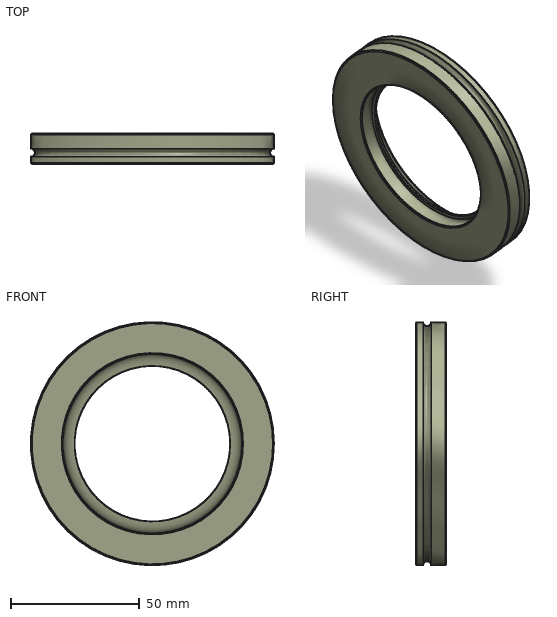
import cadquery as cq

outer_radius = 47.5
thickness = 12.0
lip_radius = 30.3
lip_thickness = 0.95
front_recess_radius = 35.0
front_recess_depth = 5.0
back_recess_radius = 31.7
back_recess_depth = thickness - front_recess_depth - lip_thickness
edge_chamfer = 0.5

groove_radius = 1.5
groove_offset = 4.5

front_y = -thickness / 2
back_y = thickness / 2


def cylinder(radius, start_y, length):
    """Solid cylinder along +Y from start_y."""
    base = cq.Workplane("XZ", origin=(0, start_y, 0))
    return base.circle(radius).extrude(-length)


def make_recess(recess_radius, recess_depth, face_y, inward):
    """Cutter for a counterbore with a chamfered mouth; inward is +1 or -1 along Y."""
    mouth_radius = recess_radius + edge_chamfer
    floor_y = face_y + inward * recess_depth
    chamfer_end_y = face_y + inward * edge_chamfer
    profile = cq.Workplane("XY").polyline([
        (0, face_y),
        (mouth_radius, face_y),
        (recess_radius, chamfer_end_y),
        (recess_radius, floor_y),
        (0, floor_y),
    ]).close()
    return profile.revolve(360, (0, 0, 0), (0, 1, 0))


def make_rim_groove():
    """Torus centred on the rim, leaving a semicircular groove."""
    section = cq.Workplane("XY").center(outer_radius, front_y + groove_offset).circle(groove_radius)
    return section.revolve(360, (-outer_radius, 0, 0), (-outer_radius, 1, 0))


ring = cylinder(outer_radius, front_y, thickness).edges().chamfer(edge_chamfer)
ring = ring.cut(cylinder(lip_radius, front_y, thickness))

ring = ring.cut(make_recess(front_recess_radius, front_recess_depth, front_y, 1))
ring = ring.cut(make_recess(back_recess_radius, back_recess_depth, back_y, -1))

result = ring.cut(make_rim_groove())